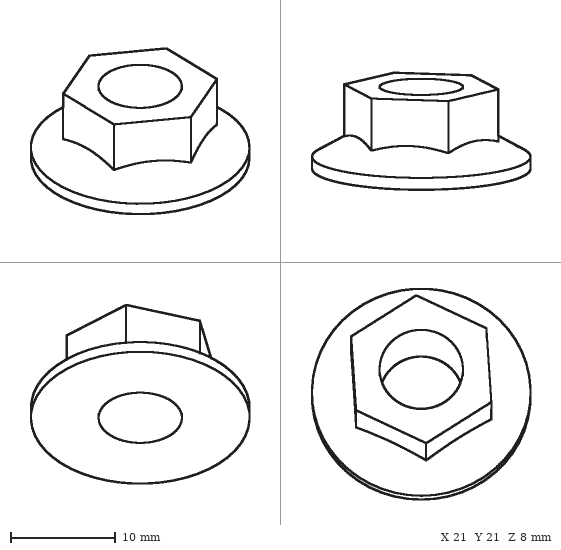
import cadquery as cq
import math

flange_diameter = 21.0
total_height = 8.0
rim_height = 1.18
cone_angle = 30.0
across_flats = 13.0
bore_diameter = 8.0

flange_radius = flange_diameter / 2
across_corners = across_flats / math.cos(math.radians(30))
cone_top_radius = bore_diameter / 2
cone_rise = (flange_radius - cone_top_radius) * math.tan(math.radians(cone_angle))


def make_flange():
    """Round flange: a short vertical rim below a conical upper face."""
    return (
        cq.Workplane("XZ")
        .moveTo(0, 0)
        .lineTo(flange_radius, 0)
        .lineTo(flange_radius, rim_height)
        .lineTo(cone_top_radius, rim_height + cone_rise)
        .lineTo(0, rim_height + cone_rise)
        .close()
        .revolve(360, (0, 0, 0), (0, 1, 0))
    )


def make_hexagon():
    """Hexagonal nut body with two corners on the X axis."""
    return cq.Workplane("XY").polygon(6, across_corners).extrude(total_height)


def make_bore():
    """Plain hole through the full height."""
    return cq.Workplane("XY").circle(bore_diameter / 2).extrude(total_height)


result = make_flange().union(make_hexagon()).cut(make_bore())